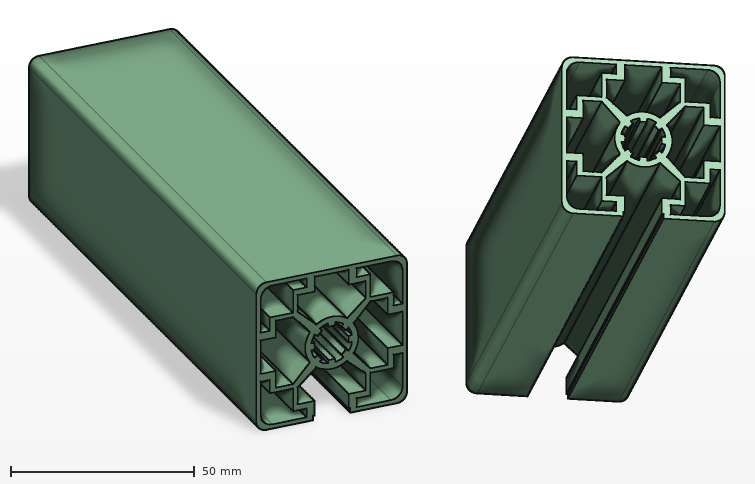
import cadquery as cq
import math

length = 150.0
side = 45.0
wall = 1.4
outer_radius = 3.0
corner_room_radius = 3.5

neck_half_width = 5.1
neck_wall = 2.4
channel_half_width = 10.2
channel_wall = 1.4
channel_roof = 16.6
lip_thickness = 1.8
mouth_half_width = 5.5

web_root_offset = 2.0
core_radius = 8.0
bore_radius = 6.2
tooth_tip_radius = 5.1
tooth_count = 8
tooth_angle = 21.0

half_side = side / 2
inner_half = half_side - wall
channel_outer = channel_half_width + channel_wall
neck_outer = neck_half_width + neck_wall
lip_outer = channel_roof + lip_thickness


def section():
    return cq.Workplane("YZ", origin=(-length / 2, 0, 0))


def polar(radius, angle):
    return (radius * math.cos(math.radians(angle)), radius * math.sin(math.radians(angle)))


def outer_body():
    return section().rect(side, side).extrude(length).edges("|X").fillet(outer_radius)


def channel_cutter():
    root = core_radius / math.sqrt(2)
    right_side = [
        (neck_half_width, inner_half),
        (neck_half_width, channel_roof),
        (channel_half_width, channel_roof),
        (channel_half_width, channel_outer),
        (root - web_root_offset / 2, root + web_root_offset / 2),
    ]
    left_side = [(-y, z) for y, z in reversed(right_side)]
    channel = section().polyline(right_side + [(0, 0)] + left_side).close().extrude(length)
    return channel.cut(section().circle(core_radius).extrude(length))


def corner_room_cutter():
    points = [
        (inner_half, inner_half),
        (neck_outer, inner_half),
        (neck_outer, lip_outer),
        (channel_outer, lip_outer),
        (channel_outer, channel_outer),
        (lip_outer, channel_outer),
        (lip_outer, neck_outer),
        (inner_half, neck_outer),
    ]
    room = section().polyline(points).close().extrude(length)
    return room.edges("|X and >Y and >Z").fillet(corner_room_radius)


def bottom_mouth_cutter():
    return section().center(0, -half_side + wall / 2).rect(2 * mouth_half_width, wall).extrude(length)


def bore_cutter():
    bore = section().circle(tooth_tip_radius).extrude(length)
    pitch = 360 / tooth_count
    groove_half_angle = (pitch - tooth_angle) / 2
    for index in range(tooth_count):
        middle = (index + 0.5) * pitch
        start = middle - groove_half_angle
        end = middle + groove_half_angle
        groove = (
            section()
            .lineTo(*polar(bore_radius, start))
            .threePointArc(polar(bore_radius, middle), polar(bore_radius, end))
            .close()
            .extrude(length)
        )
        bore = bore.union(groove)
    return bore


profile = outer_body()
for quarter in range(4):
    turn = quarter * 90
    profile = profile.cut(channel_cutter().rotate((0, 0, 0), (1, 0, 0), turn))
    profile = profile.cut(corner_room_cutter().rotate((0, 0, 0), (1, 0, 0), turn))

result = profile.cut(bottom_mouth_cutter()).cut(bore_cutter())